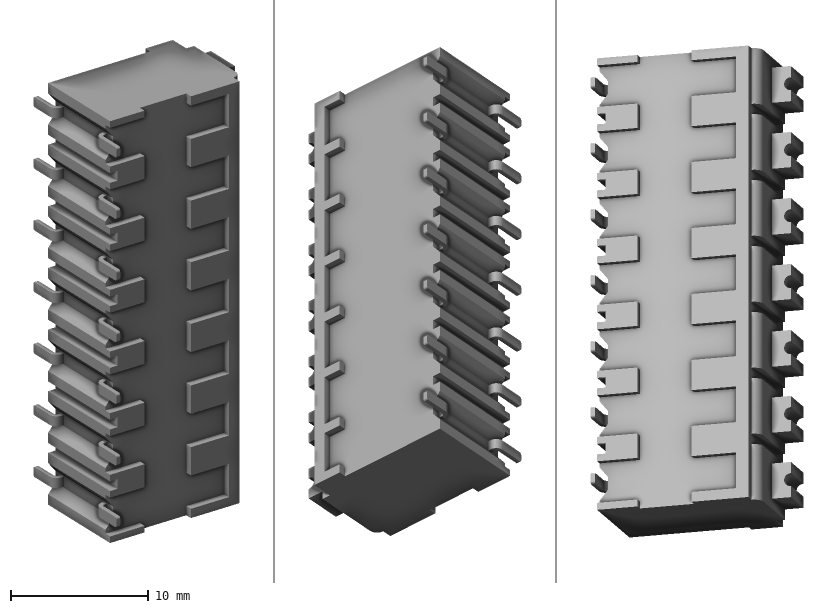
import cadquery as cq

length = 34.2
pole_count = 7
gap_width = 0.8
pole_width = (length - (pole_count - 1) * gap_width) / pole_count
pitch = pole_width + gap_width
pole_centers = [pole_width / 2 + i * pitch for i in range(pole_count)]
gap_centers = [pole_width + gap_width / 2 + i * pitch for i in range(pole_count - 1)]

front_y = 0.17
shoulder_y = 11.73
ridge_y = 12.4
left_x = -4.25
right_x = 4.2
core_half_width = 3.63
ridge_left_x = -2.53
ridge_right_x = 3.42
ridge_radius = ridge_y - shoulder_y

left_rib_y = 9.3
right_pad_y = 3.25
right_rib_y = 7.4
rail_y = 10.77
end_rib_width = 0.75
rib_half_opening = pole_width / 2 - end_rib_width
pad_half_opening = 1.57

groove_floor_y = 0.82
groove_half_mouth = 1.25
groove_half_floor = 0.48

lug_left_x = -2.43
lug_right_x = 0.6
lug_y = 13.85
lug_half_height = 1.35
lug_notch_half_width = 0.48
lug_notch_depth = 0.5

lead_span = 10.5
lead_half_span = lead_span / 2
lead_thickness = 0.35
lead_width = 0.82
bend_center_x = 3.18
bend_outer_radius = 0.6
bend_inner_radius = bend_outer_radius - lead_thickness
lead_tip_radius = 0.17
lead_embed = 0.35


def box(x0, x1, y0, y1, z0, z1):
    """Block spanning the given limits."""
    return cq.Workplane("XY").box(x1 - x0, y1 - y0, z1 - z0, centered=False).translate((x0, y0, z0))


def block_at(x0, x1, y0, y1, z_center, half_height):
    """Block spanning X and Y limits, centred on a height."""
    return box(x0, x1, y0, y1, z_center - half_height, z_center + half_height)


def make_housing():
    """Extrude the stepped outline over the full length."""
    return (
        cq.Workplane("XY")
        .moveTo(-core_half_width, front_y)
        .lineTo(right_x, front_y)
        .lineTo(right_x, right_pad_y)
        .lineTo(core_half_width, right_pad_y)
        .lineTo(core_half_width, right_rib_y)
        .lineTo(right_x, right_rib_y)
        .lineTo(right_x, shoulder_y)
        .lineTo(ridge_right_x, shoulder_y)
        .radiusArc((ridge_right_x - ridge_radius, ridge_y), -ridge_radius)
        .lineTo(ridge_left_x, ridge_y)
        .lineTo(ridge_left_x, shoulder_y)
        .lineTo(left_x, shoulder_y)
        .lineTo(left_x, left_rib_y)
        .lineTo(-core_half_width, left_rib_y)
        .close()
        .extrude(length)
    )


def make_left_pocket(index):
    """Pocket below the -X rail, leaving ribs at the gaps and both ends."""
    center = pole_centers[index]
    low = center - pole_width / 2
    high = center + pole_width / 2
    if index == 0:
        low += end_rib_width
    if index == pole_count - 1:
        high -= end_rib_width
    return box(left_x, -core_half_width, left_rib_y, rail_y, low, high)


def make_right_pockets(center):
    """Openings between the +X pads and below the +X rail."""
    pad_opening = block_at(core_half_width, right_x, front_y, right_pad_y, center, pad_half_opening)
    rib_opening = block_at(core_half_width, right_x, right_rib_y, rail_y, center, rib_half_opening)
    return pad_opening.union(rib_opening)


def make_groove(center):
    """V-sided groove with a flat floor across the soldered face."""
    return (
        cq.Workplane("YZ")
        .moveTo(front_y, center - groove_half_mouth)
        .lineTo(groove_floor_y, center - groove_half_floor)
        .lineTo(groove_floor_y, center + groove_half_floor)
        .lineTo(front_y, center + groove_half_mouth)
        .close()
        .extrude(right_x - left_x)
        .translate((left_x, 0, 0))
    )


def make_lug(center):
    """Push lug with a rounded notch in its tip."""
    return (
        cq.Workplane("YZ")
        .moveTo(shoulder_y, center - lug_half_height)
        .lineTo(lug_y, center - lug_half_height)
        .lineTo(lug_y, center - lug_notch_half_width)
        .threePointArc((lug_y - lug_notch_depth, center), (lug_y, center + lug_notch_half_width))
        .lineTo(lug_y, center + lug_half_height)
        .lineTo(shoulder_y, center + lug_half_height)
        .close()
        .extrude(lug_right_x - lug_left_x)
        .translate((lug_left_x, 0, 0))
    )


def make_right_lead(center):
    """Lead leaving the groove floor and bending out towards +X."""
    leg_end_y = groove_floor_y + lead_embed
    return (
        cq.Workplane("XY")
        .moveTo(lead_half_span, 0)
        .lineTo(bend_center_x, 0)
        .radiusArc((bend_center_x - bend_outer_radius, bend_outer_radius), bend_outer_radius)
        .lineTo(bend_center_x - bend_outer_radius, leg_end_y)
        .lineTo(bend_center_x - bend_inner_radius, leg_end_y)
        .lineTo(bend_center_x - bend_inner_radius, bend_outer_radius)
        .radiusArc((bend_center_x, lead_thickness), -bend_inner_radius)
        .lineTo(lead_half_span, lead_thickness)
        .close()
        .extrude(lead_width)
        .faces(">X")
        .edges("|Y")
        .fillet(lead_tip_radius)
        .translate((0, 0, center - lead_width / 2))
    )


body = make_housing()

for center in gap_centers:
    body = body.cut(block_at(left_x, right_x, shoulder_y, ridge_y, center, gap_width / 2))
    body = body.cut(block_at(left_x, right_x, front_y, groove_floor_y, center, gap_width / 2))

for index, center in enumerate(pole_centers):
    body = body.cut(make_left_pocket(index))
    body = body.cut(make_right_pockets(center))
    body = body.cut(make_groove(center))
    body = body.cut(block_at(ridge_left_x, lug_left_x, shoulder_y, ridge_y, center, lug_half_height))

for center in pole_centers:
    right_lead = make_right_lead(center)
    body = body.union(make_lug(center))
    body = body.union(right_lead)
    body = body.union(right_lead.mirror("YZ"))

result = body